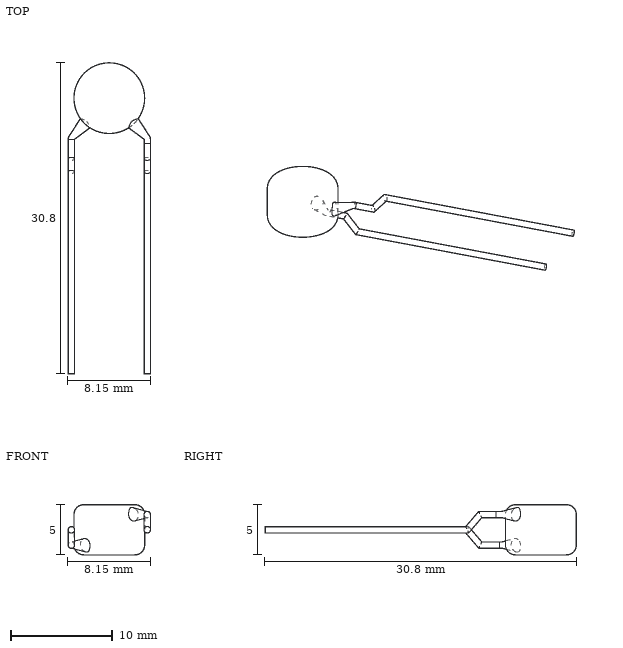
import cadquery as cq
import math

disc_diameter = 7.02
disc_height = 5.0
disc_edge_radius = 1.0
disc_radius = disc_diameter / 2

total_length = 30.8
wire_diameter = 0.65
lead_pitch = 7.5
wire_radius = wire_diameter / 2
lead_x = lead_pitch / 2
exit_height = disc_height / 2 - disc_edge_radius
kink_start_y = -6.0
kink_length = 1.3
kink_end_y = kink_start_y - kink_length
lead_tip_y = disc_radius - total_length

collar_angle = 43.0
cone_length = 2.77
cone_root_radius = 0.83
elbow_end_y = -4.1
elbow_bend_radius = 0.37
right_stub_length = 0.37
left_stub_length = 0.0

terminals = [
    (-1, -exit_height, left_stub_length),
    (1, exit_height, right_stub_length),
]


def make_disc():
    """Round body with a full fillet on both rims."""
    return (
        cq.Workplane("XY")
        .cylinder(disc_height, disc_radius)
        .edges("%CIRCLE")
        .fillet(disc_edge_radius)
    )


def wire_section(origin):
    """Round wire outline facing -Y."""
    return cq.Workplane("XZ", origin=origin).circle(wire_radius)


def make_collar(side, level, stub_length, disc):
    """Cone out of the disc, then a tight elbow into the -Y direction and a short straight end."""
    angle = math.radians(collar_angle)
    pivot_x = lead_x - elbow_bend_radius
    tip_x = pivot_x + elbow_bend_radius * math.cos(angle)
    tip_y = elbow_end_y + elbow_bend_radius * math.sin(angle)
    tip = cq.Vector(side * tip_x, tip_y, level)
    inward = cq.Vector(-side * math.sin(angle), math.cos(angle), 0)
    cone = cq.Solid.makeCone(wire_radius, cone_root_radius, cone_length, tip, inward)

    elbow_end = (side * lead_x, elbow_end_y, level)
    axis_x = -side * elbow_bend_radius
    elbow = wire_section(elbow_end).revolve(collar_angle, (axis_x, 0), (axis_x, side))

    collar = elbow.union(cq.Workplane(cone))
    if stub_length > 0:
        collar = collar.union(wire_section(elbow_end).extrude(stub_length))
    return collar.cut(disc)


def make_lead(side, level, stub_length):
    """Round wire with two mitred bends that bring it to mid height."""
    start = (side * lead_x, elbow_end_y - stub_length, level)
    path = cq.Workplane("XY").polyline([
        start,
        (side * lead_x, kink_start_y, level),
        (side * lead_x, kink_end_y, 0),
        (side * lead_x, lead_tip_y, 0),
    ])
    return wire_section(start).sweep(path, transition="right")


disc = make_disc()
collars = []
leads = []
for side, level, stub_length in terminals:
    collars.append(make_collar(side, level, stub_length, disc))
    leads.append(make_lead(side, level, stub_length))

result = cq.Compound.makeCompound([
    disc.solids().val(),
    *[collar.solids().val() for collar in collars],
    *[lead.val() for lead in leads],
])